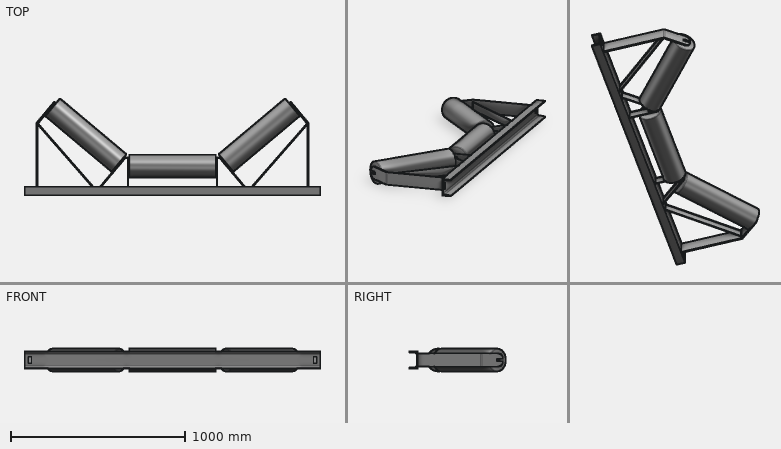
import cadquery as cq
import math

BEAM_LENGTH = 1700.0
BEAM_WIDTH = 100.0
BEAM_DEPTH = 51.0
WEB_THICKNESS = 7.0
FLANGE_ROOT = 10.0
FLANGE_TIP = 7.0
ROOT_RADIUS = 8.0
TIP_RADIUS = 3.0
BEAM_SLOT_INSET = 30.0
BEAM_SLOT_LENGTH = 35.0
BEAM_SLOT_WIDTH = 14.0

ROLLER_DIAMETER = 133.0
ROLLER_LENGTH = 500.0
ROLLER_EDGE_RADIUS = 3.0
SHAFT_DIAMETER = 14.0
TROUGH_ANGLE = 40.0
MIDDLE_ROLLER_Y = 117.0
SIDE_ROLLER_X = 498.0
SIDE_ROLLER_Y = 295.0

INNER_THICKNESS = 5.0
INNER_WIDTH = 50.0
INNER_GAP = 3.0
INNER_TOP_Y = 168.0

OUTER_THICKNESS = 8.0
OUTER_WIDTH = 75.0
OUTER_GAP = 3.0
OUTER_POST_X = 784.0
OUTER_BEND_RADIUS = 15.0
OUTER_TIP_REACH = 30.0
OUTER_SLOT_DEPTH = 42.0
OUTER_TIP_RADIUS = 29.0

STRUT_THICKNESS = 5.0
STRUT_WIDTH = 50.0
STRUT_FOOT_X = 455.0
STRUT_TOP_Y = 365.0

SIN = math.sin(math.radians(TROUGH_ANGLE))
COS = math.cos(math.radians(TROUGH_ANGLE))
HALF_LENGTH = ROLLER_LENGTH / 2


def tilted_point(along, across):
    """Point on the right side: 'along' the tilted roller axis from its middle, 'across' it upwards."""
    return (
        SIDE_ROLLER_X + along * COS - across * SIN,
        SIDE_ROLLER_Y + along * SIN + across * COS,
    )


def tilted_plane(along):
    """Plane across the tilted axis, with local X up the roller end and its normal pointing outwards."""
    x, y = tilted_point(along, 0)
    return cq.Plane(origin=(x, y, 0), xDir=(-SIN, COS, 0), normal=(COS, SIN, 0))


def across_at_height(along, height):
    """Distance 'across' at which the line at 'along' reaches the given Y."""
    return (height - SIDE_ROLLER_Y - along * SIN) / COS


def strip(points, width):
    """Flat profile in XY, extruded symmetrically about Z = 0."""
    return cq.Workplane("XY").polyline(points).close().extrude(width / 2, both=True)


def mirrored(body):
    """Copy of a right-side body on the left side."""
    return body.mirror("YZ")


def make_beam():
    half = BEAM_WIDTH / 2
    profile = [
        (0, half),
        (-BEAM_DEPTH, half),
        (-BEAM_DEPTH, half - FLANGE_TIP),
        (-WEB_THICKNESS, half - FLANGE_ROOT),
        (-WEB_THICKNESS, FLANGE_ROOT - half),
        (-BEAM_DEPTH, FLANGE_TIP - half),
        (-BEAM_DEPTH, -half),
        (0, -half),
    ]
    beam = cq.Workplane("YZ").polyline(profile).close().extrude(BEAM_LENGTH / 2, both=True)
    for y, thickness, radius in (
        (-WEB_THICKNESS, FLANGE_ROOT, ROOT_RADIUS),
        (-BEAM_DEPTH, FLANGE_TIP, TIP_RADIUS),
    ):
        for side in (1, -1):
            inner_edge = cq.selectors.NearestToPointSelector((0, y, side * (half - thickness)))
            beam = beam.edges("|X").edges(inner_edge).fillet(radius)
    slot_x = BEAM_LENGTH / 2 - BEAM_SLOT_INSET
    slots = (
        cq.Workplane("XZ")
        .pushPoints([(-slot_x, 0), (slot_x, 0)])
        .rect(BEAM_SLOT_WIDTH, BEAM_SLOT_LENGTH)
        .extrude(WEB_THICKNESS)
    )
    return beam.cut(slots)


def make_roller(inward_reach, outward_reach):
    """Roller along X, with shaft ends that reach past both of its faces."""
    shell = (
        cq.Workplane("YZ", origin=(-HALF_LENGTH, 0, 0))
        .circle(ROLLER_DIAMETER / 2)
        .extrude(ROLLER_LENGTH)
        .edges("%CIRCLE")
        .fillet(ROLLER_EDGE_RADIUS)
    )
    shaft = (
        cq.Workplane("YZ", origin=(-HALF_LENGTH - inward_reach, 0, 0))
        .circle(SHAFT_DIAMETER / 2)
        .extrude(inward_reach + ROLLER_LENGTH + outward_reach)
    )
    return shell.union(shaft)


def make_middle_roller():
    reach = INNER_GAP + INNER_THICKNESS
    return make_roller(reach, reach).translate((0, MIDDLE_ROLLER_Y, 0))


def make_side_roller():
    roller = make_roller(INNER_GAP + INNER_THICKNESS, OUTER_GAP + OUTER_THICKNESS)
    tilted = roller.rotate((0, 0, 0), (0, 0, 1), TROUGH_ANGLE)
    return tilted.translate((SIDE_ROLLER_X, SIDE_ROLLER_Y, 0))


def make_inner_bracket():
    near = HALF_LENGTH + INNER_GAP
    far = near + INNER_THICKNESS
    under_top = INNER_TOP_Y - INNER_THICKNESS
    profile = [
        (near, 0),
        (near, INNER_TOP_Y),
        tilted_point(-near, across_at_height(-near, INNER_TOP_Y)),
        tilted_point(-near, across_at_height(-near, 0)),
        tilted_point(-far, across_at_height(-far, 0)),
        tilted_point(-far, across_at_height(-far, under_top)),
        (far, under_top),
        (far, 0),
    ]
    bracket = strip(profile, INNER_WIDTH)
    middle_hole = (
        cq.Workplane("YZ", origin=(near, MIDDLE_ROLLER_Y, 0))
        .circle(SHAFT_DIAMETER / 2)
        .extrude(INNER_THICKNESS)
    )
    side_hole = (
        cq.Workplane(tilted_plane(-far))
        .circle(SHAFT_DIAMETER / 2)
        .extrude(INNER_THICKNESS)
    )
    return bracket.cut(middle_hole).cut(side_hole)


def make_outer_bracket():
    near = HALF_LENGTH + OUTER_GAP
    far = near + OUTER_THICKNESS
    inner_x = OUTER_POST_X - OUTER_THICKNESS

    def bend_point(along, x):
        """Corner where the tilted face at 'along' meets the upright face at x."""
        across = (SIDE_ROLLER_X + along * COS - x) / SIN
        return tilted_point(along, across)

    profile = [
        (OUTER_POST_X, 0),
        bend_point(far, OUTER_POST_X),
        tilted_point(far, OUTER_TIP_REACH),
        tilted_point(near, OUTER_TIP_REACH),
        bend_point(near, inner_x),
        (inner_x, 0),
    ]
    bracket = strip(profile, OUTER_WIDTH)
    outer_bend = cq.selectors.NearestToPointSelector((*bend_point(far, OUTER_POST_X), 0))
    inner_bend = cq.selectors.NearestToPointSelector((*bend_point(near, inner_x), 0))
    bracket = bracket.edges(outer_bend).fillet(OUTER_BEND_RADIUS)
    bracket = bracket.edges(inner_bend).fillet(OUTER_BEND_RADIUS - OUTER_THICKNESS)

    tip_middle = tilted_point((near + far) / 2, OUTER_TIP_REACH)
    for side in (1, -1):
        corner = cq.selectors.NearestToPointSelector((*tip_middle, side * OUTER_WIDTH / 2))
        bracket = bracket.edges(corner).fillet(OUTER_TIP_RADIUS)

    floor_centre = OUTER_TIP_REACH - OUTER_SLOT_DEPTH + SHAFT_DIAMETER / 2
    slot = (
        cq.Workplane(tilted_plane(near))
        .center(floor_centre, 0)
        .circle(SHAFT_DIAMETER / 2)
        .extrude(OUTER_THICKNESS)
        .union(
            cq.Workplane(tilted_plane(near))
            .center((OUTER_TIP_REACH + floor_centre) / 2, 0)
            .rect(OUTER_TIP_REACH - floor_centre, SHAFT_DIAMETER)
            .extrude(OUTER_THICKNESS)
        )
    )
    return bracket.cut(slot)


def make_strut():
    """Slanting strip whose upper end is trimmed to fit under the bend of the outer bracket."""
    top_x = OUTER_POST_X - OUTER_THICKNESS
    run = top_x - STRUT_FOOT_X
    slanted_thickness = STRUT_THICKNESS * math.hypot(run, STRUT_TOP_Y)
    profile = [
        (STRUT_FOOT_X, 0),
        (STRUT_FOOT_X + slanted_thickness / STRUT_TOP_Y, 0),
        (top_x, STRUT_TOP_Y - slanted_thickness / run),
        (top_x, STRUT_TOP_Y),
    ]
    return strip(profile, STRUT_WIDTH).cut(make_outer_bracket())


bodies = [make_beam().val(), make_middle_roller().val()]
for make_body in (make_side_roller, make_inner_bracket, make_outer_bracket, make_strut):
    right_body = make_body()
    bodies += [right_body.val(), mirrored(right_body).val()]

result = cq.Compound.makeCompound(bodies)